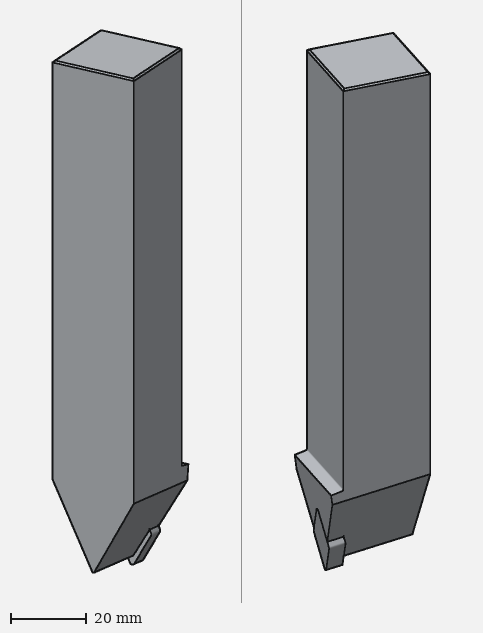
import cadquery as cq
import math

shank_width = 25.0
overall_length = 150.0
end_chamfer = 0.5

rake_angle = 7.0
overall_depth = 28.49
head_top_height = 29.1
step_slope = 12.0
step_fillet = 0.5
left_flank_angle = 27.2
right_flank_angle = 28.8
sharp_nose_height = 5.2
head_nose_radius = 0.3

insert_nose_angle = 55.0
insert_inscribed_diameter = 9.525
insert_thickness = 4.76
insert_corner_radius = 0.8

rake = math.radians(rake_angle)
half_width = shank_width / 2
step_depth = overall_depth - shank_width
nose_tip_y = overall_depth - head_top_height * math.tan(rake)

rake_plane = cq.Plane(
    origin=(0, nose_tip_y, 0),
    xDir=(1, 0, 0),
    normal=(0, -math.cos(rake), math.sin(rake)),
)


def make_insert():
    """Rhombic plate with rounded corners, its nose pointing down to the tip."""
    half_angle = math.radians(insert_nose_angle / 2)
    half_length = insert_inscribed_diameter / 2 / math.sin(half_angle)
    half_breadth = insert_inscribed_diameter / 2 / math.cos(half_angle)
    sharp_nose = -insert_corner_radius * (1 / math.sin(half_angle) - 1)
    middle = sharp_nose + half_length
    plate = (
        cq.Workplane(rake_plane)
        .polyline([
            (0, sharp_nose),
            (half_breadth, middle),
            (0, middle + half_length),
            (-half_breadth, middle),
        ])
        .close()
        .extrude(insert_thickness)
    )
    corner_edges = cq.selectors.ParallelDirSelector(rake_plane.zDir)
    return plate.edges(corner_edges).fillet(insert_corner_radius)


def make_flank_cutter():
    """Everything below the V-shaped nose of the head, square to the rake face."""
    nose_height = sharp_nose_height * math.cos(rake) - nose_tip_y * math.sin(rake)
    left_height = nose_height + half_width / math.tan(math.radians(left_flank_angle))
    right_height = nose_height + half_width / math.tan(math.radians(right_flank_angle))
    floor = -overall_depth
    cutter = (
        cq.Workplane(rake_plane)
        .polyline([
            (-half_width, left_height),
            (0, nose_height),
            (half_width, right_height),
            (half_width, floor),
            (-half_width, floor),
        ])
        .close()
        .extrude(2 * overall_depth, both=True)
    )
    nose_edge = cq.selectors.NearestToPointSelector(rake_plane.toWorldCoords((0, nose_height, 0)))
    return cutter.edges(nose_edge).fillet(head_nose_radius)


def make_holder(insert):
    """Shank and head in one piece, with a pocket that matches the insert."""
    step_height = head_top_height + step_depth * math.tan(math.radians(step_slope))
    holder = (
        cq.Workplane("YZ")
        .polyline([
            (0, 0),
            (nose_tip_y, 0),
            (overall_depth, head_top_height),
            (shank_width, step_height),
            (shank_width, overall_length),
            (0, overall_length),
        ])
        .close()
        .extrude(half_width, both=True)
    )
    holder = holder.faces(">Z").chamfer(end_chamfer)
    step_corner = cq.selectors.NearestToPointSelector((0, shank_width, step_height))
    holder = holder.edges("|X").edges(step_corner).fillet(step_fillet)
    return holder.cut(make_flank_cutter()).cut(insert)


insert = make_insert()
holder = make_holder(insert)

result = cq.Compound.makeCompound([holder.val(), insert.val()])